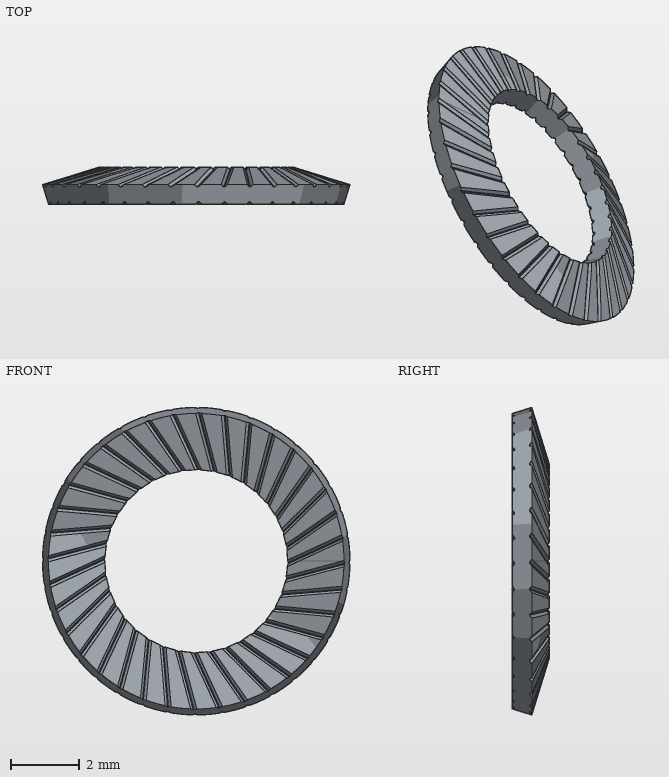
import cadquery as cq
import math

OUTER_RADIUS = 4.495
HEIGHT = 1.09
THICKNESS = 0.6
CONE_TILT = math.radians(17.2)

GROOVE_COUNT = 36
GROOVE_DEPTH = 0.07
GROOVE_FLOOR_WIDTH = 0.03
GROOVE_WALL_ANGLE = math.radians(46)
GROOVE_TWIST = 10.3
FRONT_START_ANGLE = 1.0
BACK_START_ANGLE = 0.5
OVERRUN = 0.18

RIM_SETBACK = THICKNESS * math.sin(CONE_TILT)
RIM_RISE = THICKNESS * math.cos(CONE_TILT)
CONE_RISE = HEIGHT - RIM_RISE
CONE_RUN = CONE_RISE / math.tan(CONE_TILT)

FRONT_RIM = (OUTER_RADIUS - RIM_SETBACK, 0.0)
BACK_RIM = (OUTER_RADIUS, RIM_RISE)
BACK_BORE = (OUTER_RADIUS - CONE_RUN, HEIGHT)
FRONT_BORE = (FRONT_RIM[0] - CONE_RUN, CONE_RISE)


def point_on_washer(section_point, angle):
    """Place a (radius, y) point at an angle in degrees from +Z toward +X."""
    radius, y = section_point
    turn = math.radians(angle)
    return cq.Vector(radius * math.sin(turn), y, radius * math.cos(turn))


def washer_blank():
    """Plain conical ring: the section turned once about Y."""
    section = [FRONT_RIM, BACK_RIM, BACK_BORE, FRONT_BORE]
    return cq.Workplane("XY").polyline(section).close().revolve(360, (0, 0, 0), (0, 1, 0))


def groove_cutter(rim, bore, start_angle, side):
    """Flat-floored V prism from rim to bore; side is +1 for the +Y face, -1 for the -Y face."""
    rim_point = point_on_washer(rim, start_angle)
    bore_point = point_on_washer(bore, start_angle + GROOVE_TWIST)
    along = (bore_point - rim_point).normalized()

    middle_turn = math.radians(start_angle + GROOVE_TWIST / 2)
    face_normal = cq.Vector(
        math.sin(CONE_TILT) * math.sin(middle_turn),
        math.cos(CONE_TILT),
        math.sin(CONE_TILT) * math.cos(middle_turn),
    ) * side

    start = rim_point - along * OVERRUN
    length = (bore_point - rim_point).Length + 2 * OVERRUN
    floor_half_width = GROOVE_FLOOR_WIDTH / 2
    open_half_width = floor_half_width + (GROOVE_DEPTH + OVERRUN) * math.tan(GROOVE_WALL_ANGLE)
    plane = cq.Plane(origin=start, xDir=face_normal, normal=along)
    profile = [
        (-GROOVE_DEPTH, -floor_half_width),
        (-GROOVE_DEPTH, floor_half_width),
        (OVERRUN, open_half_width),
        (OVERRUN, -open_half_width),
    ]
    return cq.Workplane(plane).polyline(profile).close().extrude(length)


def cut_serrations(body, rim, bore, start_angle, side):
    """Cut the full ring of grooves into one conical face."""
    cutter = groove_cutter(rim, bore, start_angle, side).val()
    pitch = 360 / GROOVE_COUNT
    cutters = [cutter.rotate((0, 0, 0), (0, 1, 0), i * pitch) for i in range(GROOVE_COUNT)]
    return cq.Workplane(body.val().cut(*cutters))


result = washer_blank()
result = cut_serrations(result, FRONT_RIM, FRONT_BORE, FRONT_START_ANGLE, -1)
result = cut_serrations(result, BACK_RIM, BACK_BORE, BACK_START_ANGLE, 1)